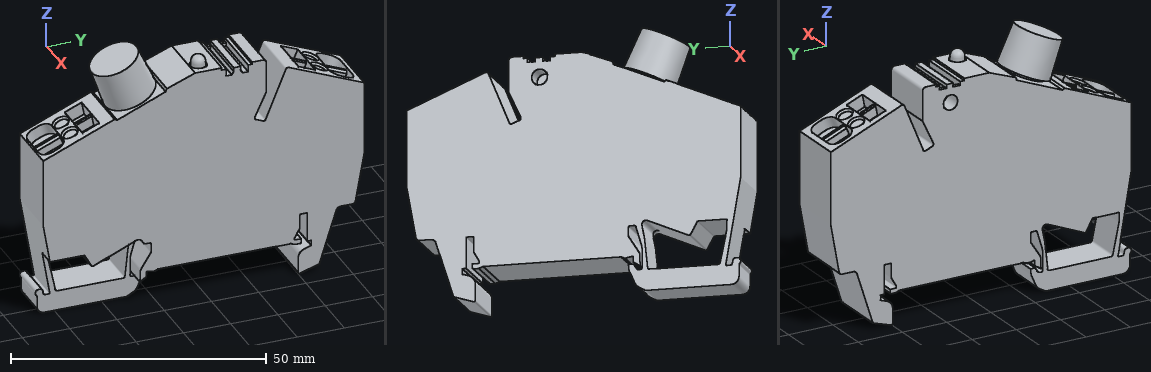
import cadquery as cq
import math


LENGTH = 67.95
THICKNESS = 12.4
MID_X = THICKNESS / 2
SLOPE_ANGLE = 22.5
SLOPE_SIN = math.sin(math.radians(SLOPE_ANGLE))
SLOPE_COS = math.cos(math.radians(SLOPE_ANGLE))
SLOPE_TAN = SLOPE_SIN / SLOPE_COS

TOP_Z = 49.2
FRONT_CORNER_Z = 36.1
BACK_CORNER_Z = 39.8
FRONT_TAPER_Z = 21.6
BACK_TAPER_Z = 24.2
TOP_FRONT_Y = 32.15
UNDERSIDE_Z = 13.3
RAIL_FACE_Z = 7.15
RAIL_LIP_Z = 6.8

SLOT_PEAK_Y = 51.5
SLOT_BOTTOM_WIDTH_Y = 2.3
SLOT_BOTTOM_Y = 46.9
MIDDLE_BACK_Y = 47.2
MIDDLE_BEND_Z = 42.05
SLOT_PEAK_Z = BACK_CORNER_Z + (LENGTH - SLOT_PEAK_Y) * SLOPE_TAN
SLOT_BOTTOM_Z = SLOT_PEAK_Z - (SLOT_PEAK_Y - SLOT_BOTTOM_Y) / SLOPE_TAN

GROOVE_STEP_Z = 48.7
GROOVE_FLOOR_Z = 47.9
GROOVE_WIDTH = 1.55
GROOVE_BACK_EDGES_Y = (43.35, 40.3)
GROOVE_SHOULDER_BACK_Y = 44.2
GROOVE_SHOULDER_FRONT_Y = 37.8
GROOVE_LAND_X = 0.8
GROOVE_DEEPENING = 0.7
GROOVE_FLARE = 0.4

SEAT_DEPTH = 0.5
SEAT_BACK_Y = 26.15
SEAT_FRONT_Y = 15.1
SEAT_BACK_WALL_Y = 0.3
SEAT_FRONT_WALL_Y = 0.55

FOOT_THICKNESS = 8.3
FOOT_FLOOR_Z = 4.3
FOOT_FRONT_Y = 0.35
BEAD_TOP_Z = 5.4
BEAD_WIDTH = 1.5
ARM_ROOT_Y = 3.05
ARM_ROOT_Z = 3.95
LATCH_SPLIT_Z = 5.65

FRONT_TERMINAL_START = 0.4
BACK_TERMINAL_START = 1.3
FUNNEL_WIDTH = 10.2
FUNNEL_LENGTH = 5.5
FUNNEL_RADIUS = 2.1
FUNNEL_DEPTH = 2.6
FUNNEL_RIB_WIDTH = 1.5
FUNNEL_RIB_TOP_WIDTH = 0.55
FUNNEL_RIB_DROP = 0.5
TEST_HOLE_AT = 7.35
TEST_HOLE_SPACING = 4.6
TEST_HOLE_DIAMETER = 3.5
TEST_HOLE_FLOOR_DIAMETER = 2.85
TEST_HOLE_DEPTH = 0.5
RELEASE_START = 9.25
RELEASE_WIDTH = 9.25
RELEASE_LENGTH = 3.9
RELEASE_DEPTH = 2.7
RELEASE_WALL_LEAN = 0.55
RELEASE_RIB_WIDTH = 0.8
RELEASE_RIB_TOP_WIDTH = 0.3
RELEASE_RIB_DROP = 0.35

SIDE_HOLE_Y = 40.9
SIDE_HOLE_Z = 44.7
SIDE_HOLE_DIAMETER = 3.2
SIDE_HOLE_DEPTH = 4.1

LAMP_X = 9.25
LAMP_Y = 34.05
LAMP_DIAMETER = 2.9
LAMP_HOLE_DIAMETER = 3.45
LAMP_HOLE_DEPTH = 1.0
LAMP_COLLAR_TOP_Z = 49.95

KNOB_X = 6.9
KNOB_UP_SLOPE = 22.15
KNOB_LIFT = 0.15
KNOB_BASE_RADIUS = 5.6
KNOB_TOP_RADIUS = 5.15
KNOB_HEIGHT = 8.6
KNOB_NECK_RADIUS = 4.35


def front_slope_z(y):
    return FRONT_CORNER_Z + y * SLOPE_TAN


def rounded_profile(corners):
    """Closed YZ outline through (y, z) or (y, z, radius) corners, each radius a tangent arc."""
    sketch = None
    for i, corner in enumerate(corners):
        here = cq.Vector(corner[0], corner[1])
        radius = corner[2] if len(corner) > 2 else 0
        if radius:
            before = cq.Vector(*corners[i - 1][:2])
            after = cq.Vector(*corners[(i + 1) % len(corners)][:2])
            to_before = (before - here).normalized()
            to_after = (after - here).normalized()
            half_angle = to_before.getAngle(to_after) / 2
            setback = radius / math.tan(half_angle)
            bisector = (to_before + to_after).normalized()
            start = here + to_before * setback
            middle = here + bisector * (radius / math.sin(half_angle) - radius)
            end = here + to_after * setback
        else:
            start = here
        start_point = (start.x, start.y)
        sketch = sketch.lineTo(*start_point) if sketch else cq.Workplane("YZ").moveTo(*start_point)
        if radius:
            sketch = sketch.threePointArc((middle.x, middle.y), (end.x, end.y))
    return sketch.close()


def slope_plane(corner_y, corner_z, inward):
    """Plane on an end slope: origin at its low edge, local Y up the slope, local Z outward."""
    return cq.Plane(
        origin=(MID_X, corner_y, corner_z),
        xDir=(inward, 0, 0),
        normal=(0, -inward * SLOPE_SIN, SLOPE_COS),
    )


FRONT_SLOPE = slope_plane(0, FRONT_CORNER_Z, 1)
BACK_SLOPE = slope_plane(LENGTH, BACK_CORNER_Z, -1)


TOP_EDGE = [
    (LENGTH, BACK_CORNER_Z),
    (SLOT_PEAK_Y, SLOT_PEAK_Z, 0.55),
    (SLOT_BOTTOM_Y, SLOT_BOTTOM_Z, 0.4),
    (SLOT_BOTTOM_Y - SLOT_BOTTOM_WIDTH_Y, SLOT_BOTTOM_Z + SLOT_BOTTOM_WIDTH_Y * SLOPE_TAN, 0.5),
    (MIDDLE_BACK_Y, MIDDLE_BEND_Z),
    (MIDDLE_BACK_Y, TOP_Z, 0.8),
    (GROOVE_SHOULDER_BACK_Y, TOP_Z),
    (GROOVE_SHOULDER_BACK_Y, GROOVE_STEP_Z),
]
for groove_y in GROOVE_BACK_EDGES_Y:
    TOP_EDGE += [
        (groove_y, GROOVE_STEP_Z),
        (groove_y, GROOVE_FLOOR_Z),
        (groove_y - GROOVE_WIDTH, GROOVE_FLOOR_Z),
        (groove_y - GROOVE_WIDTH, GROOVE_STEP_Z),
    ]
SEAT_DROP_Z = SEAT_DEPTH / SLOPE_COS
SEAT_FLOOR_BACK_Y = SEAT_BACK_Y - SEAT_BACK_WALL_Y
SEAT_FLOOR_FRONT_Y = SEAT_FRONT_Y + SEAT_FRONT_WALL_Y
TOP_EDGE += [
    (GROOVE_SHOULDER_FRONT_Y, GROOVE_STEP_Z),
    (GROOVE_SHOULDER_FRONT_Y, TOP_Z),
    (TOP_FRONT_Y, TOP_Z),
    (SEAT_BACK_Y, front_slope_z(SEAT_BACK_Y)),
    (SEAT_FLOOR_BACK_Y, front_slope_z(SEAT_FLOOR_BACK_Y) - SEAT_DROP_Z),
    (SEAT_FLOOR_FRONT_Y, front_slope_z(SEAT_FLOOR_FRONT_Y) - SEAT_DROP_Z),
    (SEAT_FRONT_Y, front_slope_z(SEAT_FRONT_Y)),
    (0, FRONT_CORNER_Z),
]

REAR_CLIP = [
    (LENGTH, BACK_TAPER_Z),
    (66.0, UNDERSIDE_Z, 0.7),
    (62.25, UNDERSIDE_Z, 1.0),
    (58.45, 1.4),
    (53.95, 0, 0.35),
    (53.95, 4.95, 1.8),
    (56.7, 5.9),
    (56.7, 7.0),
    (55.85, 7.0),
    (55.85, UNDERSIDE_Z, 0.2),
    (54.3, UNDERSIDE_Z, 0.3),
    (54.3, 10.2, 0.7),
    (52.9, 7.8, 0.3),
    (54.55, 7.8),
    (54.55, RAIL_LIP_Z, 0.3),
    (53.3, RAIL_LIP_Z),
    (52.4, RAIL_FACE_Z),
]

RAIL_STOP = [
    (24.3, RAIL_FACE_Z),
    (23.5, RAIL_LIP_Z),
    (21.9, RAIL_FACE_Z, 0.2),
    (21.8, 5.9),
]

GAP_BACK = [
    (20.45, 5.0),
    (20.5, 7.6, 1.35),
    (22.8, 11.2, 0.7),
    (22.8, UNDERSIDE_Z, 0.4),
    (21.4, UNDERSIDE_Z, 0.4),
]

GAP_FRONT = [
    (20.05, 8.8, 4.1),
    (20.05, 4.3, 0.4),
    (21.0, 4.35, 0.3),
    (21.8, 5.5),
    (22.8, 5.5),
]

FOOT_SOLE = [
    (22.7, 4.2, 1.35),
    (21.35, 1.1, 2.05),
    (19.35, 0, 0.7),
    (FOOT_FRONT_Y, 0, 1.55),
    (FOOT_FRONT_Y, 3.9, 0.35),
    (0, 4.4, 0.35),
    (0, BEAD_TOP_Z, 0.7),
    (BEAD_WIDTH, BEAD_TOP_Z, 0.7),
    (1.8, ARM_ROOT_Z, 0.4),
    (ARM_ROOT_Y, ARM_ROOT_Z, 0.2),
]

WINDOW_TOP = [
    (20.4, 14.75, 0.8),
    (10.3, 10.45, 0.4),
    (8.75, UNDERSIDE_Z, 0.35),
    (2.8, UNDERSIDE_Z, 0.2),
]

WINDOW_BOTTOM = [
    (2.8, 11.4, 2.7),
    (4.3, FOOT_FLOOR_Z, 0.55),
    (18.9, FOOT_FLOOR_Z, 0.35),
    (19.6, 10.7, 5.45),
]


def housing_blank():
    """Full-thickness plate with the foot and its window."""
    lower_edge = REAR_CLIP + RAIL_STOP + GAP_BACK + GAP_FRONT + FOOT_SOLE + [(0, FRONT_TAPER_Z)]
    outline = rounded_profile(TOP_EDGE[::-1] + lower_edge)
    window = rounded_profile(WINDOW_TOP + WINDOW_BOTTOM)
    return outline.extrude(THICKNESS).cut(window.extrude(THICKNESS))


def foot_relief():
    """Everything in front of the gap and below the window top, beside the narrower foot."""
    margin = 3.4
    below = [
        (-margin, UNDERSIDE_Z),
        (-margin, -margin),
        (LENGTH / 2, -margin),
        (LENGTH / 2, LATCH_SPLIT_Z),
        (RAIL_STOP[-1][0], LATCH_SPLIT_Z),
    ]
    region = rounded_profile(GAP_BACK + WINDOW_TOP[:-1] + below)
    return region.extrude(THICKNESS - FOOT_THICKNESS).translate((FOOT_THICKNESS, 0, 0))


def groove_deepening(back_y):
    """Lower floor of one label groove, leaving a land at -X; the side towards the ridge flares out."""
    front_y = back_y - GROOVE_WIDTH
    floor_z = GROOVE_FLOOR_Z - GROOVE_DEEPENING
    middle_y = sum(GROOVE_BACK_EDGES_Y) / len(GROOVE_BACK_EDGES_Y) - GROOVE_WIDTH / 2
    behind_ridge = back_y > middle_y
    floor_back_y = back_y if behind_ridge else back_y - GROOVE_FLARE
    floor_front_y = front_y + GROOVE_FLARE if behind_ridge else front_y
    return (
        cq.Workplane("YZ", origin=(GROOVE_LAND_X, 0, 0))
        .polyline([
            (back_y, GROOVE_FLOOR_Z),
            (floor_back_y, floor_z),
            (floor_front_y, floor_z),
            (front_y, GROOVE_FLOOR_Z),
        ])
        .close()
        .extrude(THICKNESS - GROOVE_LAND_X)
    )


def rib(plane, start, length, depth, width, top_width, drop):
    """Ridge along the slope with a bevelled top, standing on a pocket floor."""
    half = width / 2
    half_top = top_width / 2
    bevel = half - half_top
    end_plane = cq.Plane(origin=plane.toWorldCoords((0, start, 0)), xDir=plane.xDir, normal=-plane.yDir)
    return (
        cq.Workplane(end_plane)
        .polyline([
            (-half, -depth),
            (-half, -drop - bevel),
            (-half_top, -drop),
            (half_top, -drop),
            (half, -drop - bevel),
            (half, -depth),
        ])
        .close()
        .extrude(-length)
    )


def terminal_cut(plane, start):
    """Wire funnel, two test holes and release pocket of one terminal, less the dividing ribs."""
    face = cq.Workplane(plane)
    funnel = (
        face.center(0, start + FUNNEL_LENGTH / 2)
        .rect(FUNNEL_WIDTH, FUNNEL_LENGTH)
        .extrude(-FUNNEL_DEPTH)
        .edges(cq.selectors.ParallelDirSelector(plane.zDir))
        .fillet(FUNNEL_RADIUS)
        .cut(rib(plane, start, FUNNEL_LENGTH, FUNNEL_DEPTH,
                 FUNNEL_RIB_WIDTH, FUNNEL_RIB_TOP_WIDTH, FUNNEL_RIB_DROP))
    )
    release_start = start + RELEASE_START
    release_end = release_start + RELEASE_LENGTH
    side = cq.Plane(origin=plane.origin, xDir=plane.yDir, normal=plane.xDir)
    release = (
        cq.Workplane(side)
        .polyline([
            (release_start, 0),
            (release_start, -RELEASE_DEPTH),
            (release_end - RELEASE_WALL_LEAN, -RELEASE_DEPTH),
            (release_end, 0),
        ])
        .close()
        .extrude(RELEASE_WIDTH / 2, both=True)
        .cut(rib(plane, release_start, RELEASE_LENGTH, RELEASE_DEPTH,
                 RELEASE_RIB_WIDTH, RELEASE_RIB_TOP_WIDTH, RELEASE_RIB_DROP))
    )
    holes = []
    for side in (-1, 1):
        mouth = plane.toWorldCoords((side * TEST_HOLE_SPACING / 2, start + TEST_HOLE_AT, 0))
        holes.append(cq.Solid.makeCone(
            TEST_HOLE_DIAMETER / 2, TEST_HOLE_FLOOR_DIAMETER / 2, TEST_HOLE_DEPTH, mouth, -plane.zDir
        ))
    return [funnel.val(), release.val(), *holes]


def side_hole():
    return (
        cq.Workplane("YZ")
        .center(SIDE_HOLE_Y, SIDE_HOLE_Z)
        .circle(SIDE_HOLE_DIAMETER / 2)
        .extrude(SIDE_HOLE_DEPTH)
    )


def lamp_hole():
    return (
        cq.Workplane("XY", origin=(LAMP_X, LAMP_Y, TOP_Z))
        .circle(LAMP_HOLE_DIAMETER / 2)
        .extrude(-LAMP_HOLE_DEPTH)
    )


def make_housing():
    housing = housing_blank().cut(foot_relief())
    for back_y in GROOVE_BACK_EDGES_Y:
        housing = housing.cut(groove_deepening(back_y))
    for plane, start in ((FRONT_SLOPE, FRONT_TERMINAL_START), (BACK_SLOPE, BACK_TERMINAL_START)):
        for opening in terminal_cut(plane, start):
            housing = housing.cut(cq.Workplane(opening))
    return housing.cut(side_hole()).cut(lamp_hole())


def make_lamp():
    """Domed lamp standing on the floor of its hole."""
    radius = LAMP_DIAMETER / 2
    floor_z = TOP_Z - LAMP_HOLE_DEPTH
    collar_height = LAMP_COLLAR_TOP_Z - floor_z
    return (
        cq.Workplane("XZ", origin=(LAMP_X, LAMP_Y, floor_z))
        .lineTo(radius, 0)
        .lineTo(radius, collar_height)
        .radiusArc((0, collar_height + radius), -radius)
        .close()
        .revolve(360, (0, 0, 0), (0, 1, 0))
    )


def make_knob():
    """Slightly tapered knob on a short neck that stands on the seat."""
    neck_start = -SEAT_DEPTH
    knob_top = KNOB_LIFT + KNOB_HEIGHT
    section = cq.Plane(
        origin=FRONT_SLOPE.toWorldCoords((KNOB_X - MID_X, KNOB_UP_SLOPE, 0)),
        xDir=(1, 0, 0),
        normal=-FRONT_SLOPE.yDir,
    )
    return (
        cq.Workplane(section)
        .polyline([
            (0, neck_start),
            (KNOB_NECK_RADIUS, neck_start),
            (KNOB_NECK_RADIUS, KNOB_LIFT),
            (KNOB_BASE_RADIUS, KNOB_LIFT),
            (KNOB_TOP_RADIUS, knob_top),
            (0, knob_top),
        ])
        .close()
        .revolve(360, (0, 0, 0), (0, 1, 0))
    )


housing = make_housing()
lamp = make_lamp()
knob = make_knob()

result = cq.Compound.makeCompound([housing.val(), lamp.val(), knob.val()])